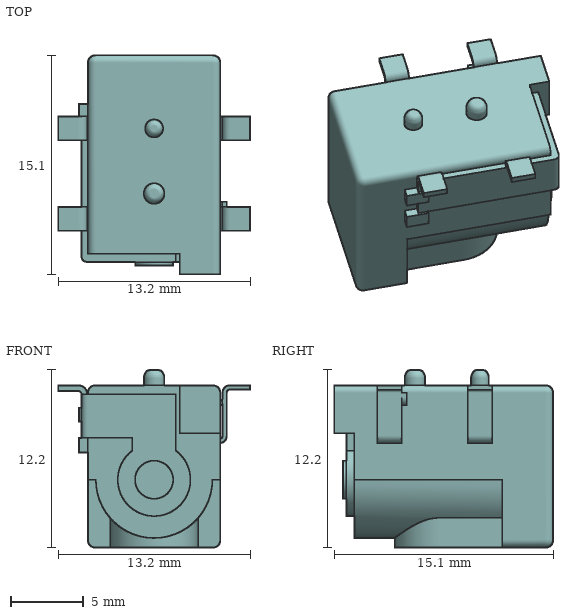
import cadquery as cq


LENGTH = 15.05
HOUSING_WIDTH = 9.1
HOUSING_HEIGHT = 11.15
EDGE_RADIUS = 0.51
FACE_Y = 1.4
SIDE = HOUSING_WIDTH / 2

AXIS_Z = 4.67
BARREL_RADIUS = 4.0
BLOCK_FRONT_Y = 11.55
BOSS_RADIUS = 3.03
BOSS_CENTRE_Y = 7.2

NOSE_LEFT = 1.75
NOSE_BOTTOM = 7.85

PEG_HEIGHT = 1.05
PEG_SHOULDER = (0, 0.51)
PEG_CONE_BASE = (0.03, 0.36)
PEG_CONE_TOP = (0.098, 0.21)
PEG_CROWN = (0.38, 0)
PEGS = [(5.55, 0.7), (10.02, 0.62)]

SHEET = 0.4
WRAP_LEFT = -5.0
WRAP_RIGHT = 1.49
WRAP_FRONT_Y = 0.85
WRAP_BACK_Y = 10.85
WRAP_BOTTOM = 7.54
LEFT_BEND = 0.6
WRAP_TOP = HOUSING_HEIGHT - LEFT_BEND
RING_RADIUS = 2.5
PIN_RADIUS = 1.31
PIN_FRONT_Y = 0.6

CLIP_OUTER = -5.16
CLIP_FRONT_Y = 10.17
CLIP_LENGTH = 1.54
CLIPS = [(6.53, WRAP_BOTTOM), (8.65, 9.62)]

TAB_SPAN = 13.2
TAB_REACH = TAB_SPAN / 2
TAB_WIDTH = 1.65
TAB_FRONT_YS = [2.98, WRAP_BACK_Y - TAB_WIDTH]

LEG_SHEET = 0.3
LEG_OUTER = 5.0
LEG_INNER = LEG_OUTER - LEG_SHEET
LEG_BEND = 0.5
LEG_BOTTOM = 7.18
EAR_WIDTH = 0.36
EAR_BOTTOM = 9.78

EMBED = 0.3


def block(x0, x1, y0, y1, z0, z1):
    return cq.Workplane("XY").box(x1 - x0, y1 - y0, z1 - z0, centered=False).translate((x0, y0, z0))


def disc(radius, y0, y1):
    """Cylinder on the plug axis from y0 back to y1."""
    return cq.Workplane("XZ", origin=(0, y0, AXIS_Z)).circle(radius).extrude(y0 - y1)


def bent_sheet(x0, x1, y0, y1, z0, z1, corner, inward, outer_radius, thickness):
    """L-bent sheet that fills two sides of a box and is rounded where they meet.

    corner selects the rounded edge and inward is the (x, z) direction away from it.
    """
    solid = block(x0, x1, y0, y1, z0, z1)
    shift = (inward[0] * thickness, 0, inward[1] * thickness)
    hollow = solid.translate(shift).edges(corner).fillet(outer_radius - thickness)
    return solid.edges(corner).fillet(outer_radius).cut(hollow)


def make_housing():
    shell = block(-SIDE, SIDE, 0, LENGTH, 0, HOUSING_HEIGHT)
    shell = shell.edges("|Y or >Y").fillet(EDGE_RADIUS)

    back_block = block(-SIDE, SIDE, BLOCK_FRONT_Y, LENGTH, 0, HOUSING_HEIGHT)
    upper_block = block(-SIDE, SIDE, FACE_Y, LENGTH, AXIS_Z, HOUSING_HEIGHT)
    nose = block(NOSE_LEFT, SIDE, 0, FACE_Y, NOSE_BOTTOM, HOUSING_HEIGHT)
    barrel = disc(BARREL_RADIUS, FACE_Y, BLOCK_FRONT_Y)
    boss = cq.Workplane("XY").center(0, BOSS_CENTRE_Y).circle(BOSS_RADIUS).extrude(AXIS_Z)
    boss_tail = block(-BOSS_RADIUS, BOSS_RADIUS, BOSS_CENTRE_Y, BLOCK_FRONT_Y, 0, AXIS_Z)

    filled = back_block.union(upper_block).union(nose).union(barrel).union(boss).union(boss_tail)
    return shell.intersect(filled)


def make_peg(y, radius):
    tip_z = HOUSING_HEIGHT + PEG_HEIGHT

    def tip_point(place):
        inset, depth = place
        return radius - inset, tip_z - depth

    profile = (
        cq.Workplane("XZ")
        .moveTo(0, HOUSING_HEIGHT - EMBED)
        .lineTo(radius, HOUSING_HEIGHT - EMBED)
        .lineTo(*tip_point(PEG_SHOULDER))
        .tangentArcPoint(tip_point(PEG_CONE_BASE), relative=False)
        .lineTo(*tip_point(PEG_CONE_TOP))
        .tangentArcPoint(tip_point(PEG_CROWN), relative=False)
        .lineTo(0, tip_z)
        .close()
    )
    return profile.revolve(360, (0, 0), (0, 1)).translate((0, y, 0))


def make_wrap():
    side_wall = block(WRAP_LEFT, EMBED - SIDE, WRAP_FRONT_Y, WRAP_BACK_Y, WRAP_BOTTOM, WRAP_TOP)
    front_wall = block(WRAP_LEFT, WRAP_RIGHT, WRAP_FRONT_Y, FACE_Y, WRAP_BOTTOM, WRAP_TOP)
    wrap = side_wall.union(front_wall).edges("|Z and <X and <Y").fillet(SHEET)
    neck = block(-WRAP_RIGHT, WRAP_RIGHT, WRAP_FRONT_Y, FACE_Y, AXIS_Z, WRAP_TOP)
    ring = disc(RING_RADIUS, WRAP_FRONT_Y, FACE_Y)
    pin = disc(PIN_RADIUS, PIN_FRONT_Y, FACE_Y)
    return wrap.union(neck).union(ring).union(pin)


def make_clip(bottom, top):
    return block(CLIP_OUTER, EMBED - SIDE, CLIP_FRONT_Y, CLIP_FRONT_Y + CLIP_LENGTH, bottom, top)


def make_left_tab(y):
    return bent_sheet(
        -TAB_REACH, WRAP_LEFT + SHEET, y, y + TAB_WIDTH, WRAP_TOP - EMBED, HOUSING_HEIGHT,
        "|Y and >X and >Z", (-1, -1), LEFT_BEND, SHEET,
    )


def make_foot(y, width, bottom, top):
    """Upright sheet whose lower end bends inward into the housing."""
    return bent_sheet(
        SIDE - EMBED, LEG_OUTER, y, y + width, bottom, top,
        "|Y and >X and <Z", (-1, 1), LEG_BEND, LEG_SHEET,
    )


def make_leg(y):
    bend_z = HOUSING_HEIGHT - LEG_BEND
    tab = bent_sheet(
        LEG_INNER, TAB_REACH, y, y + TAB_WIDTH, bend_z - EMBED, HOUSING_HEIGHT,
        "|Y and <X and >Z", (1, -1), LEG_BEND, LEG_SHEET,
    )
    return make_foot(y, TAB_WIDTH, LEG_BOTTOM, bend_z).union(tab)


def make_ear():
    ear_top = HOUSING_HEIGHT - LEG_BEND
    return make_foot(TAB_FRONT_YS[0] + TAB_WIDTH, EAR_WIDTH, EAR_BOTTOM, ear_top)


result = make_housing().union(make_wrap())
for peg_y, peg_radius in PEGS:
    result = result.union(make_peg(peg_y, peg_radius))
for clip_bottom, clip_top in CLIPS:
    result = result.union(make_clip(clip_bottom, clip_top))
for tab_y in TAB_FRONT_YS:
    result = result.union(make_left_tab(tab_y)).union(make_leg(tab_y))
result = result.union(make_ear())